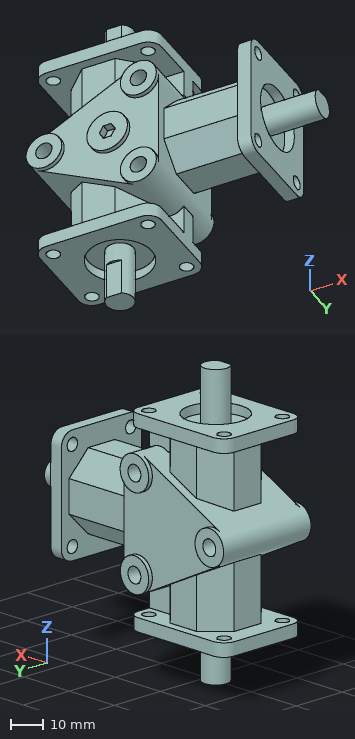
import cadquery as cq
import math


VERTICAL_FLANGE_FACE = 35.725
HORIZONTAL_FLANGE_FACE = 55.545

BOLT_HALF_LONG = 16.7
BOLT_HALF_SHORT = 12.7
FLANGE_CORNER = 4.7625
FLANGE_LONG = 2 * (BOLT_HALF_LONG + FLANGE_CORNER)
FLANGE_SHORT = 2 * (BOLT_HALF_SHORT + FLANGE_CORNER)
FLANGE_THICKNESS = 4.7625
BOLT_HOLE_DIAMETER = 4.5
RECESS_DIAMETER = 22.225
RECESS_DEPTH = 3.4

OCTAGON_ACROSS_FLATS = 28.2
OCTAGON_ACROSS_CORNERS = OCTAGON_ACROSS_FLATS / math.cos(math.pi / 8)

SHAFT_DIAMETER = 9.525
SHAFT_PROJECTION = 15.875
SHAFT_FLAT_LENGTH = 12.6
SHAFT_FLAT_OFFSET = 3.95

BOSS_RADIUS = 6.35
BOSS_HOLE_DIAMETER = 5.7
BOSS_LENGTH = 38.1
BOSS_SPACING = 16.67
BOSS_CENTERS = [(-BOSS_SPACING, 0), (BOSS_SPACING, BOSS_SPACING), (BOSS_SPACING, -BOSS_SPACING)]
HUB_LENGTH = FLANGE_SHORT

PLUG_X = 5.67
PLUG_DIAMETER = 14.29
PLUG_SOCKET_FLATS = 4.76
PLUG_SOCKET_DEPTH = 3.0

WEB_OUTER_X = FLANGE_LONG / 2
WEB_NEAR_Y = 2.0
WEB_FAR_Y = 8.0
UPPER_WEB_END = 21.9
LOWER_WEB_END = -BOSS_SPACING


def plane_facing_front(y):
    """XZ workplane at the given Y; positive extrusion runs towards -Y."""
    return cq.Workplane("XZ", origin=(0, y, 0))


def make_arm(flange_face, flat_angle):
    """Arm along +Z: octagon, flange (long side on X) and shaft with a flat facing flat_angle."""
    arm = (
        cq.Workplane("XY")
        .transformed(rotate=(0, 0, 180 / 8))
        .polygon(8, OCTAGON_ACROSS_CORNERS)
        .extrude(flange_face)
    )
    flange = (
        cq.Workplane("XY", origin=(0, 0, flange_face - FLANGE_THICKNESS))
        .rect(FLANGE_LONG, FLANGE_SHORT)
        .extrude(FLANGE_THICKNESS)
        .edges("|Z")
        .fillet(FLANGE_CORNER)
    )
    bolt_holes = (
        cq.Workplane("XY", origin=(0, 0, flange_face - FLANGE_THICKNESS))
        .rect(2 * BOLT_HALF_LONG, 2 * BOLT_HALF_SHORT, forConstruction=True)
        .vertices()
        .circle(BOLT_HOLE_DIAMETER / 2)
        .extrude(FLANGE_THICKNESS)
    )
    recess = (
        cq.Workplane("XY", origin=(0, 0, flange_face - RECESS_DEPTH))
        .circle(RECESS_DIAMETER / 2)
        .extrude(RECESS_DEPTH)
    )
    return arm.union(flange).cut(bolt_holes).cut(recess).union(make_shaft(flange_face, flat_angle))


def make_shaft(flange_face, flat_angle):
    """Shaft along +Z from the origin, with one flat milled at its free end."""
    shaft_end = flange_face + SHAFT_PROJECTION
    shaft = cq.Workplane("XY").circle(SHAFT_DIAMETER / 2).extrude(shaft_end)
    flat_cutter = (
        cq.Workplane("XY", origin=(0, 0, shaft_end - SHAFT_FLAT_LENGTH))
        .center(SHAFT_FLAT_OFFSET + SHAFT_DIAMETER / 2, 0)
        .rect(SHAFT_DIAMETER, SHAFT_DIAMETER)
        .extrude(SHAFT_FLAT_LENGTH)
        .rotate((0, 0, 0), (0, 0, 1), flat_angle)
    )
    return shaft.cut(flat_cutter)


def make_hub():
    """Triangular hub whose sides are tangent to the three bosses."""
    triangle = (
        plane_facing_front(HUB_LENGTH / 2)
        .polyline(BOSS_CENTERS)
        .close()
        .offset2D(BOSS_RADIUS)
        .extrude(HUB_LENGTH)
    )
    bosses = (
        plane_facing_front(BOSS_LENGTH / 2)
        .pushPoints(BOSS_CENTERS)
        .circle(BOSS_RADIUS)
        .extrude(BOSS_LENGTH)
    )
    return triangle.union(bosses)


def make_boss_holes():
    """Cutters for the holes running the full length of the bosses."""
    return (
        plane_facing_front(BOSS_LENGTH / 2)
        .pushPoints(BOSS_CENTERS)
        .circle(BOSS_HOLE_DIAMETER / 2)
        .extrude(BOSS_LENGTH)
    )


def make_plug():
    """Round plug standing proud of the hub, flush with the boss faces."""
    return (
        plane_facing_front(-HUB_LENGTH / 2)
        .center(PLUG_X, 0)
        .circle(PLUG_DIAMETER / 2)
        .extrude((BOSS_LENGTH - HUB_LENGTH) / 2)
    )


def make_plug_socket():
    """Cutter for the blind hexagon socket in the plug."""
    return (
        plane_facing_front(-BOSS_LENGTH / 2)
        .center(PLUG_X, 0)
        .polygon(6, PLUG_SOCKET_FLATS / math.cos(math.pi / 6))
        .extrude(-PLUG_SOCKET_DEPTH)
    )


def make_web(z_start, z_end):
    """Rectangular web on the +X side of the vertical arm."""
    return (
        cq.Workplane("XY", origin=(0, WEB_NEAR_Y, z_start))
        .box(WEB_OUTER_X, WEB_FAR_Y - WEB_NEAR_Y, z_end - z_start, centered=False)
    )


upper_arm = make_arm(VERTICAL_FLANGE_FACE, -90)
lower_arm = upper_arm.mirror("XY")
side_arm = make_arm(HORIZONTAL_FLANGE_FACE, 180).rotate((0, 0, 0), (0, 1, 0), 90)

web_flange_z = VERTICAL_FLANGE_FACE - FLANGE_THICKNESS
upper_web = make_web(UPPER_WEB_END, web_flange_z)
lower_web = make_web(-web_flange_z, LOWER_WEB_END)

result = make_hub()
for piece in (upper_arm, lower_arm, side_arm, upper_web, lower_web, make_plug()):
    result = result.union(piece)
result = result.cut(make_boss_holes()).cut(make_plug_socket())